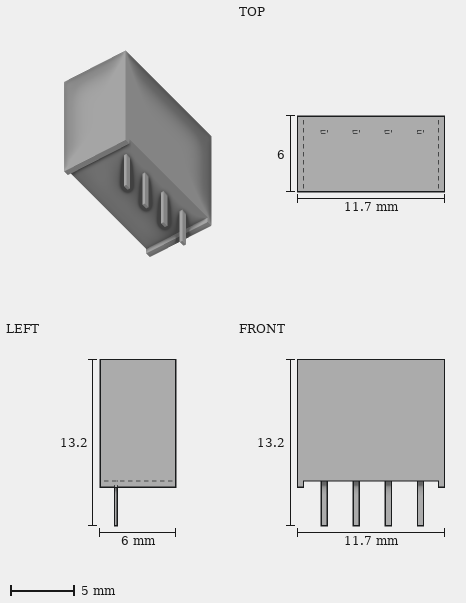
import cadquery as cq

case_length = 11.68
case_depth = 6.0
case_height = 10.16

foot_length = 0.5
standoff_height = 0.5

overall_height = 13.2
pin_count = 4
pin_pitch = 2.54
pin_width = 0.5
pin_thickness = 0.25
first_pin_from_left = 2.14
pin_row_from_back = 1.25

pin_drop = overall_height - case_height
pin_length = pin_drop + standoff_height
first_pin_x = -case_length / 2 + first_pin_from_left
pin_row_y = case_depth / 2 - pin_row_from_back


def make_case():
    """Block with a shallow channel underneath that leaves a foot at each end."""
    block = cq.Workplane("XY").box(case_length, case_depth, case_height, centered=(True, True, False))
    channel_length = case_length - 2 * foot_length
    channel = cq.Workplane("XY").box(channel_length, case_depth, standoff_height, centered=(True, True, False))
    return block.cut(channel)


def make_pins():
    """Row of rectangular pins hanging from the roof of the channel."""
    centres = [(first_pin_x + i * pin_pitch, pin_row_y) for i in range(pin_count)]
    return (
        cq.Workplane("XY")
        .workplane(offset=-pin_drop)
        .pushPoints(centres)
        .rect(pin_width, pin_thickness)
        .extrude(pin_length)
    )


result = make_case().union(make_pins())